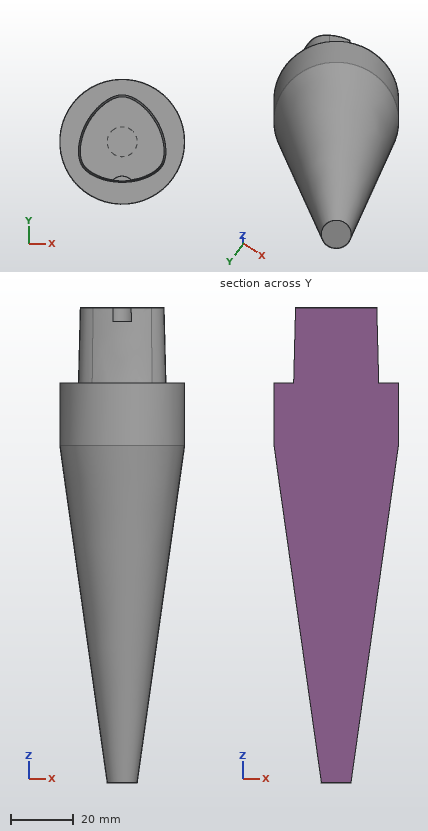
import cadquery as cq
import math

flange_diameter = 40.0
flange_height = 20.0
cone_length = 108.0
cone_tip_diameter = 9.6

shank_length = 24.0
shank_mean_diameter = 28.0
shank_taper = 1.0 / 20.0
lobe_height = 1.0
lobe_count = 3
first_lobe_angle = math.radians(90.0)
points_per_face = 9

keyway_radius = 4.0
keyway_floor_offset = 11.0
keyway_depth = 4.4

flange_bottom = -flange_height
cone_bottom = flange_bottom - cone_length


def make_body():
    """Flange and cone, revolved about Z."""
    flange_radius = flange_diameter / 2
    return (
        cq.Workplane("XZ")
        .moveTo(0, cone_bottom)
        .lineTo(cone_tip_diameter / 2, cone_bottom)
        .lineTo(flange_radius, flange_bottom)
        .lineTo(flange_radius, 0)
        .lineTo(0, 0)
        .close()
        .revolve(360, (0, 0, 0), (0, 1, 0))
    )


def lobed_point(normal_angle, mean_radius, height):
    """Point of the constant-width lobed curve whose outward normal has the given angle."""
    phase = lobe_count * (normal_angle - first_lobe_angle)
    support = mean_radius + lobe_height * math.cos(phase)
    slope = -lobe_count * lobe_height * math.sin(phase)
    x = support * math.cos(normal_angle) - slope * math.sin(normal_angle)
    y = support * math.sin(normal_angle) + slope * math.cos(normal_angle)
    return cq.Vector(x, y, height)


def lobed_wire(mean_radius, height):
    """Closed lobed outline: lobes and flanks alternate, each one smooth edge."""
    face_count = 2 * lobe_count
    face_angle = 2 * math.pi / face_count
    edges = []
    for face in range(face_count):
        start = first_lobe_angle + (face - 0.5) * face_angle
        angles = [start + face_angle * i / (points_per_face - 1) for i in range(points_per_face)]
        points = [lobed_point(angle, mean_radius, height) for angle in angles]
        end_tangents = [cq.Vector(-math.sin(a), math.cos(a), 0) for a in (angles[0], angles[-1])]
        edges.append(cq.Edge.makeSpline(points, tangents=end_tangents))
    return cq.Wire.assembleEdges(edges)


def make_shank():
    """Tapered lobed shank, ruled between its base and end outlines."""
    base_radius = shank_mean_diameter / 2
    end_radius = base_radius - shank_taper * shank_length / 2
    outlines = [lobed_wire(base_radius, 0), lobed_wire(end_radius, shank_length)]
    return cq.Workplane(obj=cq.Solid.makeLoft(outlines, True))


def make_keyway():
    """Vertical cylinder that cuts the keyway into the -Y flank of the shank."""
    return (
        cq.Workplane("XY", origin=(0, 0, shank_length - keyway_depth))
        .center(0, -keyway_floor_offset - keyway_radius)
        .circle(keyway_radius)
        .extrude(keyway_depth)
    )


result = make_body().union(make_shank().cut(make_keyway()))